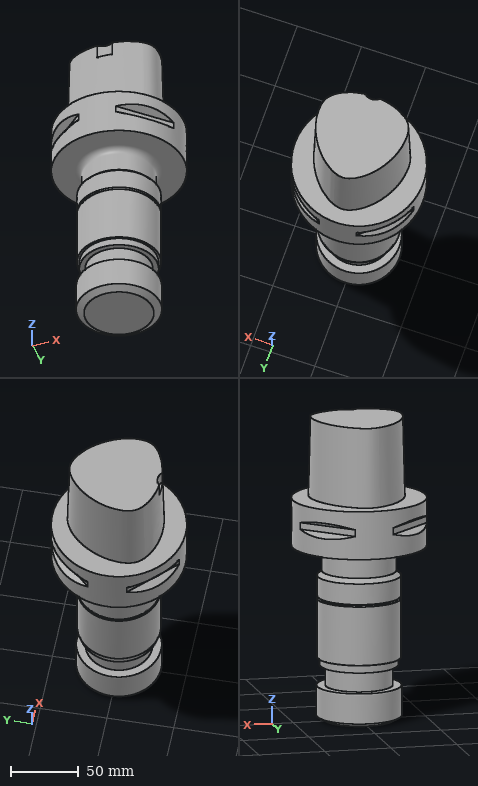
import cadquery as cq
import math

total_height = 227.0
flange_top = 167.4
flange_bottom = 131.3
neck_bottom = 112.2
groove_centre = 92.2
body_bottom = 47.0
collar_bottom = 41.0
nut_top = 26.0

flange_radius = 100.0 / 2
neck_radius = 55.0 / 2
body_radius = 62.0 / 2
groove_radius = 59.5 / 2
collar_radius = 58.4 / 2
nut_neck_radius = 50.0 / 2
nut_radius = 63.4 / 2
nut_top_radius = 63.0 / 2
nut_end_radius = 51.5 / 2

neck_fillet = 4.8
groove_half_width = 1.0
nut_top_chamfer_height = 1.4
nut_end_chamfer_height = 3.2

shank_base_radius = 35.7
shank_taper = 1 / 20
lobe_height = 2.7
lobe_half_angle = 22.5
points_per_face = 9

keyway_radius = 8.5
keyway_floor_y = -28.8
keyway_depth = 11.1

slot_count = 4
slot_height = 151.2
slot_floor_distance = 44.0
slot_floor_width = 5.0
slot_side_angle = 30.0


def turned_body():
    """Flange, neck, body and nut revolved about Z."""
    neck_chamfer = body_radius - neck_radius
    arc_offset = neck_fillet * (1 - math.sqrt(0.5))
    return (
        cq.Workplane("XZ")
        .moveTo(0, 0)
        .lineTo(nut_end_radius, 0)
        .lineTo(nut_radius, nut_end_chamfer_height)
        .lineTo(nut_radius, nut_top - nut_top_chamfer_height)
        .lineTo(nut_top_radius, nut_top)
        .lineTo(nut_neck_radius, nut_top)
        .lineTo(nut_neck_radius, collar_bottom)
        .lineTo(collar_radius, collar_bottom)
        .lineTo(collar_radius, body_bottom)
        .lineTo(body_radius, body_bottom)
        .lineTo(body_radius, groove_centre - groove_half_width)
        .lineTo(groove_radius, groove_centre)
        .lineTo(body_radius, groove_centre + groove_half_width)
        .lineTo(body_radius, neck_bottom - neck_chamfer)
        .lineTo(neck_radius, neck_bottom)
        .lineTo(neck_radius, flange_bottom - neck_fillet)
        .threePointArc(
            (neck_radius + arc_offset, flange_bottom - arc_offset),
            (neck_radius + neck_fillet, flange_bottom),
        )
        .lineTo(flange_radius, flange_bottom)
        .lineTo(flange_radius, flange_top)
        .lineTo(0, flange_top)
        .close()
        .revolve(360, (0, 0), (0, 1))
    )


def lobed_point(radius, normal_angle, height):
    """Point of the constant-width outline whose outward normal has the given angle."""
    angle = math.radians(normal_angle)
    reach = radius - lobe_height * math.sin(3 * angle)
    slide = -3 * lobe_height * math.cos(3 * angle)
    x = reach * math.cos(angle) - slide * math.sin(angle)
    y = reach * math.sin(angle) + slide * math.cos(angle)
    return cq.Vector(x, y, height)


def lobed_face_edge(radius, start, end, height):
    """Smooth edge of the outline between two normal angles."""
    step = (end - start) / (points_per_face - 1)
    points = [lobed_point(radius, start + i * step, height) for i in range(points_per_face)]
    tangents = [
        cq.Vector(-math.sin(math.radians(a)), math.cos(math.radians(a)), 0) for a in (start, end)
    ]
    return cq.Edge.makeSpline(points, tangents=tangents)


def lobed_wire(radius, height):
    """Outline of three tight lobes joined by three flatter sides."""
    edges = []
    for lobe_centre in (90, 210, 330):
        lobe_start = lobe_centre - lobe_half_angle
        lobe_end = lobe_centre + lobe_half_angle
        next_lobe_start = lobe_start + 120
        edges.append(lobed_face_edge(radius, lobe_start, lobe_end, height))
        edges.append(lobed_face_edge(radius, lobe_end, next_lobe_start, height))
    return cq.Wire.assembleEdges(edges)


def shank():
    """Tapered lobed shank with a keyway at the top of its -Y side."""
    top_radius = shank_base_radius - (total_height - flange_top) * shank_taper / 2
    base = lobed_wire(shank_base_radius, flange_top)
    top = lobed_wire(top_radius, total_height)
    taper = cq.Workplane(obj=cq.Solid.makeLoft([base, top], True))
    keyway = (
        cq.Workplane("XY", origin=(0, keyway_floor_y - keyway_radius, total_height))
        .circle(keyway_radius)
        .extrude(-keyway_depth)
    )
    return taper.cut(keyway)


def gripper_slot():
    """Cutter for a flat-floored slot with sloping sides, open towards +X."""
    depth = flange_radius - slot_floor_distance
    floor_half = slot_floor_width / 2
    mouth_half = floor_half + depth * math.tan(math.radians(slot_side_angle))
    return (
        cq.Workplane("XZ")
        .moveTo(slot_floor_distance, slot_height - floor_half)
        .lineTo(flange_radius, slot_height - mouth_half)
        .lineTo(flange_radius, slot_height + mouth_half)
        .lineTo(slot_floor_distance, slot_height + floor_half)
        .close()
        .extrude(flange_radius, both=True)
    )


result = turned_body().union(shank())
for index in range(slot_count):
    slot_angle = (index + 0.5) * 360 / slot_count
    result = result.cut(gripper_slot().rotate((0, 0, 0), (0, 0, 1), slot_angle))